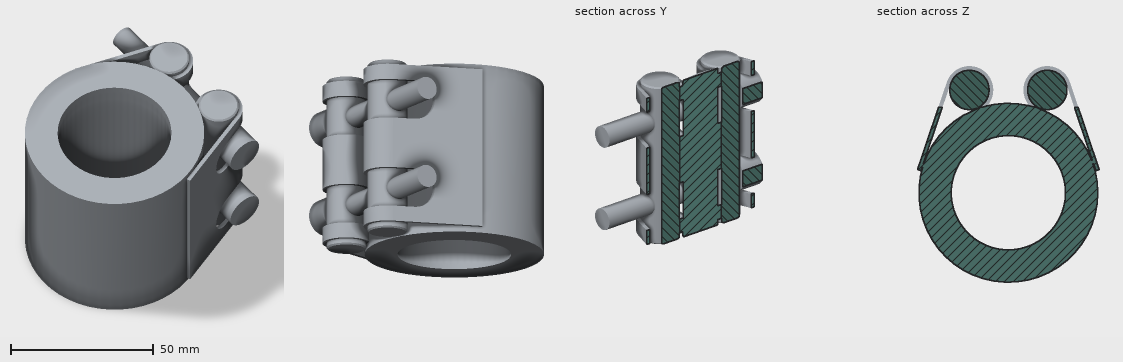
import cadquery as cq
import math

OVERALL_LENGTH = 76

SLEEVE_DIAMETER = 63.0
BORE_DIAMETER = 40.0
SLEEVE_HEIGHT = 61.0
SLEEVE_RADIUS = SLEEVE_DIAMETER / 2

PIN_DIAMETER = 14.0
PIN_CHAMFER = 0.5
PIN_X = 13.7
PIN_Y = 36.1
PIN_RADIUS = PIN_DIAMETER / 2

BOLT_DIAMETER = 8.0
BOLT_SPACING = 32.0
BOLT_TIP_X = -40.0
HEAD_DIAMETER = 13.0
HEAD_START_X = 19.1
HEAD_END_X = 28.1

CURL_RADIUS = OVERALL_LENGTH - SLEEVE_RADIUS - PIN_Y
STRAP_HEIGHT = 56.9
STRAP_TAIL_X = 32.0
SLOT_WIDTH = 14.0
SLOT_BOTTOM_Y = 24.5

SIDES = (-1, 1)

PIN_DISTANCE = math.hypot(PIN_X, PIN_Y)
STRAP_TILT = math.atan2(PIN_Y, PIN_X) - math.acos((SLEEVE_RADIUS - PIN_RADIUS) / PIN_DISTANCE)
NORMAL_X = math.cos(STRAP_TILT)
NORMAL_Y = math.sin(STRAP_TILT)


def cylinder(radius, height):
    """Upright cylinder centred on the origin."""
    return cq.Workplane("XY").circle(radius).extrude(height / 2, both=True)


def rod(diameter, start_x, end_x, z):
    """Cylinder along X on the line of the pin centres."""
    section = cq.Workplane("YZ", origin=(start_x, 0, 0)).center(PIN_Y, z)
    return section.circle(diameter / 2).extrude(end_x - start_x)


def make_strap_web():
    """Flat part of the right strap, from its tail to the curl."""
    thickness = CURL_RADIUS - PIN_RADIUS
    inner_top = (PIN_X + PIN_RADIUS * NORMAL_X, PIN_Y + PIN_RADIUS * NORMAL_Y)
    outer_top = (PIN_X + CURL_RADIUS * NORMAL_X, PIN_Y + CURL_RADIUS * NORMAL_Y)
    length = (STRAP_TAIL_X - outer_top[0]) / NORMAL_Y
    outer_tail = (STRAP_TAIL_X, outer_top[1] - length * NORMAL_X)
    inner_tail = (outer_tail[0] - thickness * NORMAL_X, outer_tail[1] - thickness * NORMAL_Y)
    outline = cq.Workplane("XY").polyline([inner_top, outer_top, outer_tail, inner_tail]).close()
    return outline.extrude(STRAP_HEIGHT / 2, both=True)


def make_strap_curl():
    """Curl over the right pin, from the web round to the sleeve."""
    reach = 2 * CURL_RADIUS
    web_side = (PIN_X + reach * NORMAL_X, PIN_Y + reach * NORMAL_Y)
    sleeve_side = (PIN_X - reach * PIN_X / PIN_DISTANCE, PIN_Y - reach * PIN_Y / PIN_DISTANCE)
    corner = (web_side[0], sleeve_side[1])
    opening = cq.Workplane("XY").polyline([(PIN_X, PIN_Y), web_side, corner, sleeve_side]).close()
    opening = opening.extrude(STRAP_HEIGHT, both=True)
    tube = cylinder(CURL_RADIUS, STRAP_HEIGHT).translate((PIN_X, PIN_Y, 0))
    return tube.cut(opening)


def make_bolt_slot(z):
    """Round-bottomed slot through the straps, open at the top of the curls."""
    slot_radius = SLOT_WIDTH / 2
    arc_y = SLOT_BOTTOM_Y + slot_radius
    end_y = PIN_Y + 2 * CURL_RADIUS
    outline = (
        cq.Workplane("YZ")
        .moveTo(end_y, z - slot_radius)
        .lineTo(arc_y, z - slot_radius)
        .threePointArc((SLOT_BOTTOM_Y, z), (arc_y, z + slot_radius))
        .lineTo(end_y, z + slot_radius)
        .close()
    )
    return outline.extrude(2 * SLEEVE_RADIUS, both=True)


def make_sleeve():
    """Thick sleeve with a slotted strap on each side."""
    right_strap = make_strap_web().union(make_strap_curl())
    straps = right_strap.union(right_strap.mirror("YZ"))
    for side in SIDES:
        straps = straps.cut(make_bolt_slot(side * BOLT_SPACING / 2))
        straps = straps.cut(cylinder(PIN_RADIUS, SLEEVE_HEIGHT).translate((side * PIN_X, PIN_Y, 0)))
    body = cylinder(SLEEVE_RADIUS, SLEEVE_HEIGHT).union(straps)
    return body.cut(cylinder(BORE_DIAMETER / 2, SLEEVE_HEIGHT))


def make_clamp():
    """Two pins tied together by two headed bolts."""
    pin = cylinder(PIN_RADIUS, SLEEVE_HEIGHT).edges().chamfer(PIN_CHAMFER)
    body = pin.translate((-PIN_X, PIN_Y, 0)).union(pin.translate((PIN_X, PIN_Y, 0)))
    for side in SIDES:
        bolt_z = side * BOLT_SPACING / 2
        body = body.union(rod(BOLT_DIAMETER, BOLT_TIP_X, HEAD_END_X, bolt_z))
        body = body.union(rod(HEAD_DIAMETER, HEAD_START_X, HEAD_END_X, bolt_z))
    return body


sleeve = make_sleeve()
clamp = make_clamp()

result = cq.Compound.makeCompound([sleeve.val(), clamp.val()])